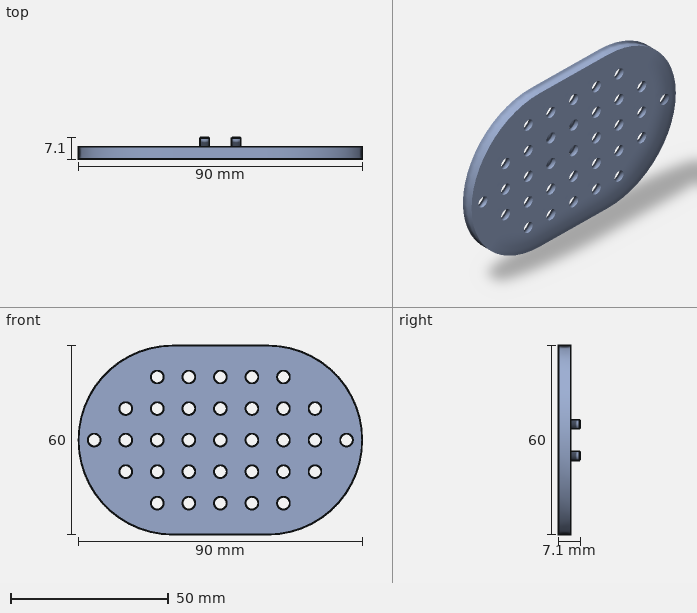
import cadquery as cq

length = 90.0
height = length * 2 / 3
thickness = 4.0
hole_diameter = 4.0
countersink_depth = 2.5
countersink_diameter = hole_diameter + 2 * countersink_depth
pin_diameter = 3.0
pin_length = 3.1
pin_chamfer = 0.45

pitch = length / 9
outermost_columns = {-2: 2, -1: 3, 0: 4, 1: 3, 2: 2}


def make_plate():
    """Upright plate with semicircular ends, front face at Y = 0."""
    profile = cq.Workplane("XZ").slot2D(length, height)
    return profile.extrude(-thickness)


def make_hole(x, z):
    """Cutter for a through hole that flares into a countersink at the back face."""
    half_section = (
        cq.Workplane("XY")
        .lineTo(hole_diameter / 2, 0)
        .lineTo(hole_diameter / 2, thickness - countersink_depth)
        .lineTo(countersink_diameter / 2, thickness)
        .lineTo(0, thickness)
        .close()
    )
    return half_section.revolve(360, (0, 0, 0), (0, 1, 0)).translate((x, 0, z))


def make_pin(x, z):
    """Locating pin on the back face, chamfered at its free end."""
    base = cq.Workplane("XZ", origin=(x, thickness, z))
    return base.circle(pin_diameter / 2).extrude(-pin_length).faces(">Y").chamfer(pin_chamfer)


result = make_plate()

for row, last_column in outermost_columns.items():
    for column in range(-last_column, last_column + 1):
        result = result.cut(make_hole(column * pitch, row * pitch))

for x in (-pitch / 2, pitch / 2):
    for z in (-pitch / 2, pitch / 2):
        result = result.union(make_pin(x, z))